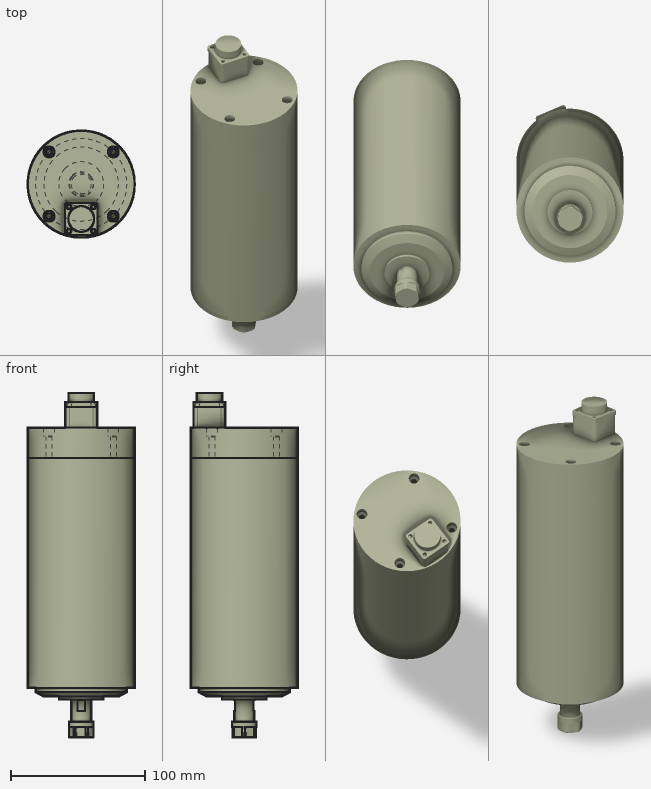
import cadquery as cq
import math


body_diameter = 80.0
body_length = 194.0
cap_height = 22.5
housing_height = body_length - cap_height

screw_spacing = 48.0
screw_hole_diameter = 4.5
screw_head_diameter = 8.0
screw_head_depth = 6.0
screw_seat_angle = 118.0

nose_diameter = 68.0
nose_rim_height = 3.2
nose_height = 6.5
nose_tip_diameter = 55.5
collar_diameter = 33.5
collar_height = 2.3

shaft_diameter = 15.0
shaft_length = 16.2
flat_spacing = 14.0
flat_height = 8.0
flat_gap = 0.5

nut_diameter = 18.5
nut_height = 12.0
nut_ring_height = 4.4
nut_across_flats = 17.0
nut_turn = -3.0
nut_chamfer = 0.4
flat_to_y_turn = 30.0

connector_offset = -26.0
connector_width = 24.0
box_height = 15.5
box_corner_radius = 3.2
flange_height = 3.5
flange_corner_radius = 1.8
plug_diameter = 19.2
plug_height = 7.0
flange_hole_spacing = 18.0
flange_hole_diameter = 3.2

collar_bottom = -nose_height - collar_height
shaft_bottom = collar_bottom - shaft_length
nut_bottom = shaft_bottom - nut_height
flange_bottom = body_length + box_height
flange_top = flange_bottom + flange_height


def cylinder(diameter, bottom, height):
    return cq.Workplane("XY").workplane(offset=bottom).circle(diameter / 2).extrude(height)


def rounded_square(width, corner_radius, bottom, height):
    block = (
        cq.Workplane("XY", origin=(0, connector_offset, bottom))
        .rect(width, width)
        .extrude(height)
    )
    return block.edges("|Z").fillet(corner_radius)


def make_housing():
    return cylinder(body_diameter, 0, housing_height)


def make_rear_cap():
    """Cap with four stepped screw holes, each with a conical seat at its step."""
    cap = cylinder(body_diameter, housing_height, cap_height)
    head_radius = screw_head_diameter / 2
    hole_radius = screw_hole_diameter / 2
    seat_top = body_length - screw_head_depth
    seat_slope = math.radians(screw_seat_angle / 2)
    seat_bottom = seat_top - (head_radius - hole_radius) / math.tan(seat_slope)
    screw_hole = (
        cq.Workplane("XZ")
        .moveTo(0, body_length)
        .lineTo(head_radius, body_length)
        .lineTo(head_radius, seat_top)
        .lineTo(hole_radius, seat_bottom)
        .lineTo(hole_radius, housing_height)
        .lineTo(0, housing_height)
        .close()
        .revolve(360, (0, 0, 0), (0, 1, 0))
    )
    for side_x in (-1, 1):
        for side_y in (-1, 1):
            hole_center = (side_x * screw_spacing / 2, side_y * screw_spacing / 2, 0)
            cap = cap.cut(screw_hole.translate(hole_center))
    return cap


def make_nose_cover():
    """Revolved cover: straight rim, conical underside and a small collar."""
    profile = (
        cq.Workplane("XZ")
        .moveTo(0, 0)
        .lineTo(nose_diameter / 2, 0)
        .lineTo(nose_diameter / 2, -nose_rim_height)
        .lineTo(nose_tip_diameter / 2, -nose_height)
        .lineTo(collar_diameter / 2, -nose_height)
        .lineTo(collar_diameter / 2, collar_bottom)
        .lineTo(0, collar_bottom)
        .close()
    )
    return profile.revolve(360, (0, 0, 0), (0, 1, 0))


def make_shaft():
    shaft = cylinder(shaft_diameter, shaft_bottom, shaft_length)
    flat_center = collar_bottom - flat_gap - flat_height / 2
    for side in (-1, 1):
        cutter = cq.Workplane("XY").box(shaft_diameter, shaft_diameter, flat_height)
        cutter_y = side * (flat_spacing + shaft_diameter) / 2
        shaft = shaft.cut(cutter.translate((0, cutter_y, flat_center)))
    return shaft


def make_collet_nut():
    """Ring above a hexagon with corners turned down to the ring diameter, chamfered at both ends."""
    nut = cylinder(nut_diameter, nut_bottom, nut_height).faces("<Z or >Z").chamfer(nut_chamfer)
    hexagon = (
        cq.Workplane("XY")
        .workplane(offset=nut_bottom)
        .polygon(6, nut_across_flats, circumscribed=True)
        .extrude(nut_height - nut_ring_height)
        .rotate((0, 0, 0), (0, 0, 1), flat_to_y_turn + nut_turn)
    )
    ring = cylinder(nut_diameter, shaft_bottom - nut_ring_height, nut_ring_height)
    return nut.intersect(hexagon.union(ring))


def make_connector_box():
    return rounded_square(connector_width, box_corner_radius, body_length, box_height)


def make_connector_plug():
    """Square flange with four screw holes, carrying a round plug."""
    flange = rounded_square(connector_width, flange_corner_radius, flange_bottom, flange_height)
    flange = (
        flange.faces(">Z")
        .workplane(origin=(0, connector_offset, flange_top))
        .rect(flange_hole_spacing, flange_hole_spacing, forConstruction=True)
        .vertices()
        .hole(flange_hole_diameter)
    )
    plug = cylinder(plug_diameter, flange_top, plug_height)
    return flange.union(plug.translate((0, connector_offset, 0)))


housing = make_housing()
rear_cap = make_rear_cap()
nose_cover = make_nose_cover()
shaft = make_shaft()
collet_nut = make_collet_nut()
connector_box = make_connector_box()
connector_plug = make_connector_plug()

result = cq.Compound.makeCompound([
    housing.val(),
    rear_cap.val(),
    nose_cover.val(),
    shaft.val(),
    collet_nut.val(),
    connector_box.val(),
    connector_plug.val(),
])